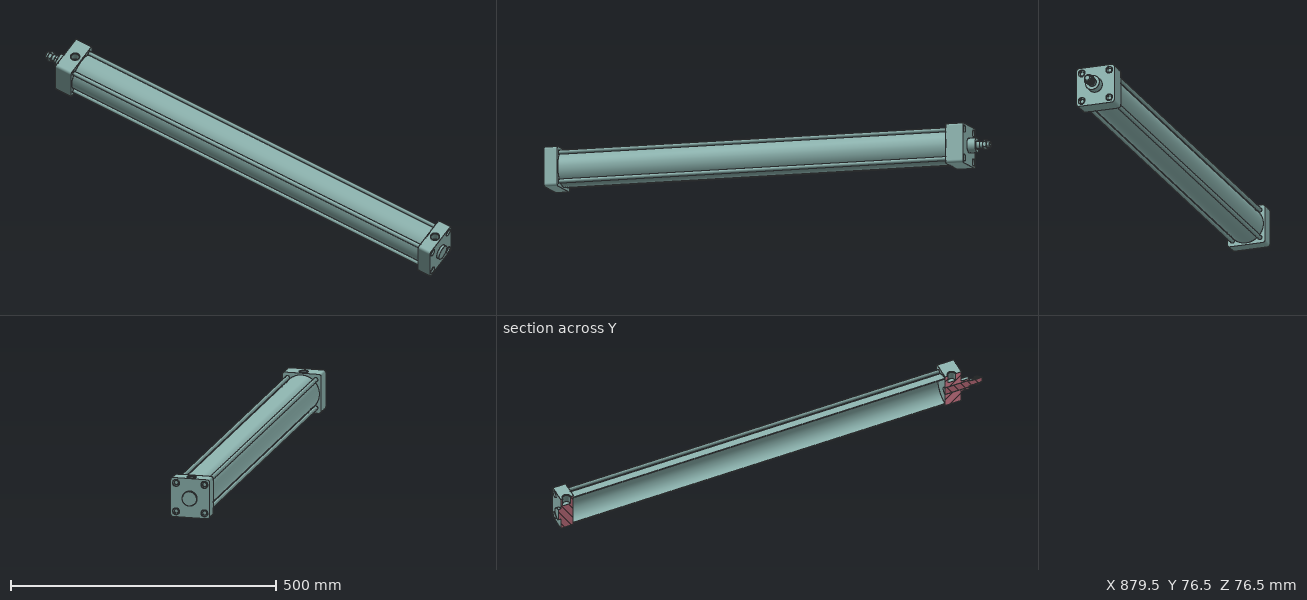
import cadquery as cq
import math


total_length = 879.5
nose_length = 43.0
front_cap_length = 34.0
rear_cap_length = 26.0
collar_length = 16.0
rear_boss_length = 5.0

cap_side = 76.5
cap_corner_radius = 5.0
boss_diameter = 28.0

port_diameter = 15.0
port_mouth_diameter = 18.0
port_mouth_angle = 90
port_depth = 18.0
front_port_offset = 20.0
rear_port_offset = 14.0

tube_outer_diameter = 69.5
tube_bore_diameter = 63.0

tie_rod_diameter = 8.0
tie_rod_pitch = 55.0
recess_diameter = 13.0
recess_depth = 3.5

rod_diameter = 16.0
tip_diameter = 13.0
tip_length = 20.0
tip_chamfer = 2.0
flats_width = 14.0
flats_length = 6.0

nut_offset = 6.0
nut_length = 8.0
nut_width = 17.0
nut_chamfer = 2.0

front_end = -total_length / 2
rear_end = total_length / 2
front_cap_start = front_end + nose_length
front_cap_end = front_cap_start + front_cap_length
rear_cap_end = rear_end - rear_boss_length
rear_cap_start = rear_cap_end - rear_cap_length
rod_shoulder = front_end + tip_length
tie_rod_start = front_cap_start + recess_depth
tie_rod_end = rear_cap_end - recess_depth

tie_rod_places = [
    (side_y * tie_rod_pitch / 2, side_z * tie_rod_pitch / 2)
    for side_y in (-1, 1)
    for side_z in (-1, 1)
]


def cylinder(start, length, diameter, y=0, z=0):
    """Cylinder along X that begins at x = start."""
    return cq.Workplane("YZ", origin=(start, y, z)).circle(diameter / 2).extrude(length)


def make_tie_rod(y, z):
    return cylinder(tie_rod_start, tie_rod_end - tie_rod_start, tie_rod_diameter, y, z)


def make_tube():
    length = rear_cap_start - front_cap_end
    bore = cylinder(front_cap_end, length, tube_bore_diameter)
    return cylinder(front_cap_end, length, tube_outer_diameter).cut(bore)


def make_rod():
    """Piston rod from its chamfered tip to the inner face of the front cap."""
    shank = cylinder(rod_shoulder, front_cap_end - rod_shoulder, rod_diameter)
    for side in (-1, 1):
        beyond_flat = (
            cq.Workplane("XY")
            .box(flats_length, rod_diameter, rod_diameter, centered=(False, True, True))
            .translate((rod_shoulder, 0, side * (flats_width + rod_diameter) / 2))
        )
        shank = shank.cut(beyond_flat)
    tip = cylinder(front_end, tip_length, tip_diameter).faces("<X").chamfer(tip_chamfer)
    return shank.union(tip)


def make_nut(rod):
    """Hexagonal nut with chamfered corners and a flat on each Y side."""
    start = front_end + nut_offset
    corner_diameter = nut_width / math.cos(math.pi / 6)
    hexagon = (
        cq.Workplane("YZ", origin=(start, 0, 0))
        .polygon(6, nut_width, circumscribed=True)
        .extrude(nut_length)
    )
    envelope = cylinder(start, nut_length, corner_diameter).faces("<X or >X").chamfer(nut_chamfer)
    return hexagon.intersect(envelope).cut(rod)


def make_cap(start, length, boss_start, boss_length, port_offset, recess_start):
    """Square cap with a round boss, a port, and recessed holes for the tie rods."""
    cap = (
        cq.Workplane("YZ", origin=(start, 0, 0))
        .rect(cap_side, cap_side)
        .extrude(length)
        .edges("|X")
        .fillet(cap_corner_radius)
        .faces(">Z")
        .workplane(origin=(start + port_offset, 0, cap_side / 2))
        .cskHole(port_diameter, port_mouth_diameter, port_mouth_angle, port_depth)
        .union(cylinder(boss_start, boss_length, boss_diameter))
    )
    for y, z in tie_rod_places:
        cap = cap.cut(cylinder(recess_start, recess_depth, recess_diameter, y, z))
        cap = cap.cut(make_tie_rod(y, z))
    return cap


def make_front_cap(rod):
    """Front cap whose collar guides the piston rod."""
    cap = make_cap(
        front_cap_start,
        front_cap_length,
        front_cap_start - collar_length,
        collar_length,
        front_port_offset,
        front_cap_start,
    )
    return cap.cut(rod)


def make_rear_cap():
    return make_cap(
        rear_cap_start,
        rear_cap_length,
        rear_cap_end,
        rear_boss_length,
        rear_port_offset,
        tie_rod_end,
    )


piston_rod = make_rod()
nut = make_nut(piston_rod)
front_cap = make_front_cap(piston_rod)
rear_cap = make_rear_cap()
tube = make_tube()
tie_rods = [make_tie_rod(y, z) for y, z in tie_rod_places]

bodies = [front_cap, rear_cap, tube, *tie_rods, piston_rod, nut]
result = cq.Compound.makeCompound([body.solids().val() for body in bodies])